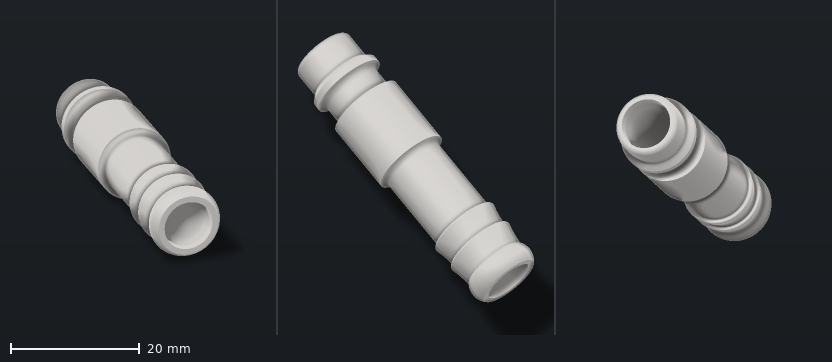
import cadquery as cq
import math

length = 48.0
bore_radius = 7.85 / 2
tube_radius = 10.1 / 2
body_radius = 12.0 / 2

lip_round = 0.9

collar_cone_start = 5.0
collar_start = 6.0
collar_end = 7.1
neck_radius = 9.75 / 2
neck_fillet = 1.0

body_start = 11.4
body_end = 23.0
shoulder_fillet = 0.85

first_barb_start = 36.5
second_barb_start = 40.45
barb_length = 3.6
barb_radius = 5.7
barb_nose = 0.3
barb_foot_radius = 5.15
barb_sag = 0.07

bead_start = 44.4
bead_radius = 11.4 / 2
bead_crest = 46.15
bead_end_radius = 4.9


def arc_inset(radius):
    """Distance from the sharp corner, along each axis, to the middle of a quarter-round arc."""
    return radius * (1 - math.sqrt(0.5))


def concave_descent(outline, x, foot_radius, fillet):
    """Drop from a shoulder at x to foot_radius through a quarter-round fillet."""
    bend = arc_inset(fillet)
    outline = outline.lineTo(x, foot_radius + fillet)
    return outline.threePointArc((x + bend, foot_radius + bend), (x + fillet, foot_radius))


def concave_rise(outline, x, foot_radius, fillet):
    """Climb from foot_radius to a shoulder at x through a quarter-round fillet."""
    bend = arc_inset(fillet)
    outline = outline.lineTo(x - fillet, foot_radius)
    return outline.threePointArc((x - bend, foot_radius + bend), (x, foot_radius + fillet))


def barb(outline, start, end):
    """Add a steep rounded nose followed by a slightly hollow taper."""
    crest = start + barb_nose
    bend = arc_inset(barb_nose)
    outline = outline.lineTo(start, barb_radius - barb_nose)
    outline = outline.threePointArc((start + bend, barb_radius - bend), (crest, barb_radius))
    middle_radius = (barb_radius + barb_foot_radius) / 2 - barb_sag
    return outline.threePointArc(((crest + end) / 2, middle_radius), (end, barb_foot_radius))


lip_bend = arc_inset(lip_round)
outline = (
    cq.Workplane("XY")
    .moveTo(0, bore_radius)
    .lineTo(0, tube_radius - lip_round)
    .threePointArc((lip_bend, tube_radius - lip_bend), (lip_round, tube_radius))
    .lineTo(collar_cone_start, tube_radius)
    .lineTo(collar_start, body_radius)
    .lineTo(collar_end, body_radius)
)
outline = concave_descent(outline, collar_end, neck_radius, neck_fillet)
outline = concave_rise(outline, body_start, neck_radius, neck_fillet)
outline = outline.lineTo(body_start, body_radius).lineTo(body_end, body_radius)
outline = concave_descent(outline, body_end, tube_radius, shoulder_fillet)

outline = outline.lineTo(first_barb_start, tube_radius)
outline = barb(outline, first_barb_start, first_barb_start + barb_length)
outline = outline.lineTo(second_barb_start, barb_foot_radius)
outline = barb(outline, second_barb_start, bead_start)

outline = (
    outline.threePointArc((bead_crest, bead_radius), (length, bead_end_radius))
    .lineTo(length, bore_radius)
    .close()
)

result = outline.revolve(360, (0, 0, 0), (1, 0, 0))